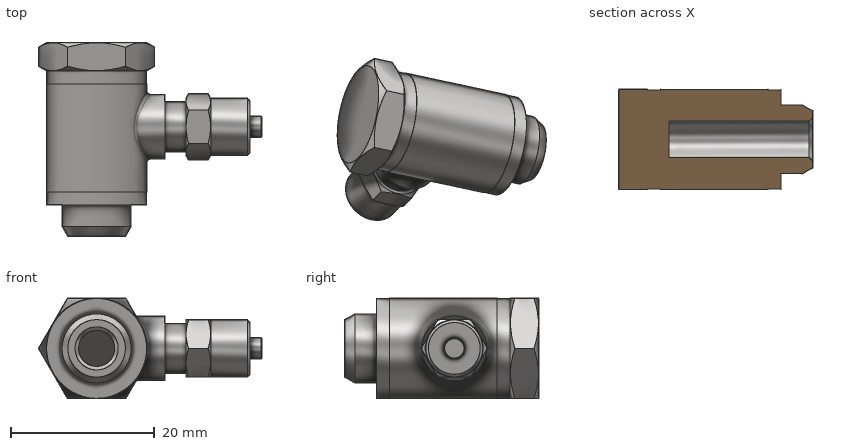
import cadquery as cq
import math


head_top_y = 11.75
head_height = 4.0
head_across_flats = 14.0
head_chamfer_dia = 13.8
washer_thickness = 1.8
washer_dia = 13.9
body_length = 15.0
body_dia = 14.0
spigot_length = 4.4
spigot_dia = 9.6
spigot_chamfer_length = 1.4
spigot_chamfer_depth = 0.8
bore_dia = 5.0
bore_depth = 20.0
bore_chamfer = 0.5

boss_dia = 9.0
boss_end_x = 9.5
boss_fillet = 0.5
neck_dia = 7.0
nut_start_x = 12.4
nut_length = 3.5
nut_across_flats = 8.0
nut_chamfer_dia = 7.85
sleeve_dia = 8.0
sleeve_end_x = 21.35
sleeve_chamfer = 0.4
tube_dia = 3.0
tube_end_x = 23.0
tube_chamfer = 0.15

hex_chamfer_angle = 30.0

head_base_y = head_top_y - head_height
body_top_y = head_base_y - washer_thickness
body_base_y = body_top_y - body_length
spigot_top_y = body_base_y - washer_thickness
spigot_end_y = spigot_top_y - spigot_length


def bolt_plane(y):
    """Plane across the bolt axis at height y, extruding toward -Y."""
    return cq.Workplane("XZ", origin=(0, y, 0))


def outlet_plane(x):
    """Plane across the outlet axis at position x, extruding toward +X."""
    return cq.Workplane("YZ", origin=(x, 0, 0))


def chamfered_hexagon(plane, across_flats, length, chamfer_dia):
    """Hexagonal prism with both ends turned to a cone; corners on the plane's x axis."""
    corner_radius = across_flats / math.sqrt(3)
    end_radius = chamfer_dia / 2
    drop = (corner_radius - end_radius) * math.tan(math.radians(hex_chamfer_angle))
    prism = plane.polygon(6, 2 * corner_radius).extrude(length)
    turned_blank = (
        plane.circle(corner_radius)
        .extrude(length)
        .faces(cq.selectors.ParallelDirSelector(plane.plane.zDir))
        .edges()
        .chamfer(drop, corner_radius - end_radius)
    )
    return prism.intersect(turned_blank)


def make_body_with_boss():
    """Banjo body and outlet boss, blended where they meet."""
    body = bolt_plane(body_top_y).circle(body_dia / 2).extrude(body_length)
    boss = outlet_plane(0).circle(boss_dia / 2).extrude(boss_end_x)
    body_radius = body_dia / 2
    boss_radius = boss_dia / 2
    junction_region = cq.selectors.BoxSelector(
        (0, -boss_radius, -boss_radius), (body_radius, boss_radius, boss_radius)
    )
    return body.union(boss).edges("not %LINE").edges(junction_region).fillet(boss_fillet)


def make_bolt():
    """Hexagon head, the two washers and the spigot."""
    head = chamfered_hexagon(
        bolt_plane(head_top_y), head_across_flats, head_height, head_chamfer_dia
    )
    upper_washer = bolt_plane(head_base_y).circle(washer_dia / 2).extrude(washer_thickness)
    lower_washer = bolt_plane(body_base_y).circle(washer_dia / 2).extrude(washer_thickness)
    spigot = (
        bolt_plane(spigot_top_y)
        .circle(spigot_dia / 2)
        .extrude(spigot_length)
        .faces("<Y")
        .chamfer(spigot_chamfer_length, spigot_chamfer_depth)
    )
    return head.union(upper_washer).union(lower_washer).union(spigot)


def make_outlet():
    """Neck, union nut with its round sleeve, and the tube stub."""
    nut_end_x = nut_start_x + nut_length
    neck = outlet_plane(boss_end_x).circle(neck_dia / 2).extrude(nut_start_x - boss_end_x)
    nut = chamfered_hexagon(
        outlet_plane(nut_start_x), nut_across_flats, nut_length, nut_chamfer_dia
    )
    sleeve = (
        outlet_plane(nut_end_x)
        .circle(sleeve_dia / 2)
        .extrude(sleeve_end_x - nut_end_x)
        .faces(">X")
        .chamfer(sleeve_chamfer)
    )
    tube = (
        outlet_plane(sleeve_end_x)
        .circle(tube_dia / 2)
        .extrude(tube_end_x - sleeve_end_x)
        .faces(">X")
        .chamfer(tube_chamfer)
    )
    return neck.union(nut).union(sleeve).union(tube)


def make_bore():
    """Blind bore entering the spigot end, with a countersunk mouth."""
    mouth_radius = bore_dia / 2 + bore_chamfer
    bore = bolt_plane(spigot_end_y).circle(bore_dia / 2).extrude(-bore_depth)
    mouth = cq.Workplane(
        cq.Solid.makeCone(
            mouth_radius,
            bore_dia / 2,
            bore_chamfer,
            pnt=cq.Vector(0, spigot_end_y, 0),
            dir=cq.Vector(0, 1, 0),
        )
    )
    return bore.union(mouth)


result = make_body_with_boss().union(make_bolt()).union(make_outlet()).cut(make_bore())